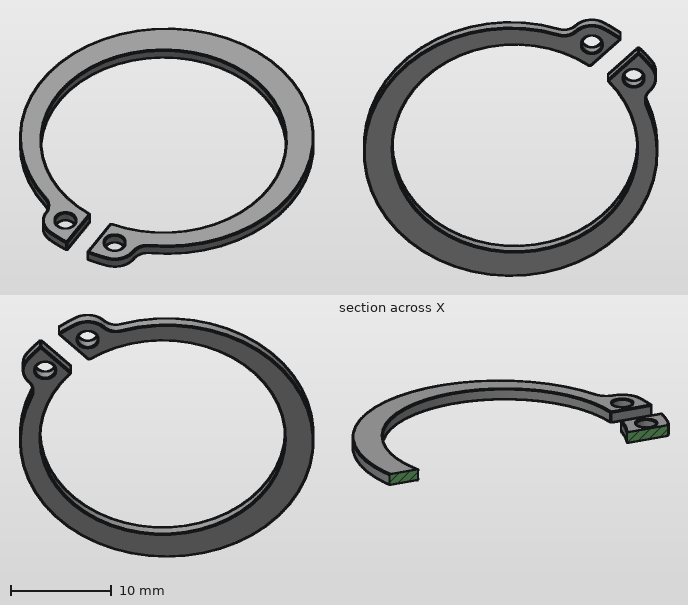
import cadquery as cq
import math

thickness = 1.2
total_length = 31.73
outer_radius = 14.55
bore_radius = 12.12
outer_offset = 0.6
half_gap = 1.17
hole_diameter = 2.0
hole_x = 2.85
hole_y = -14.1
neck_radius = 1.6
edge_chamfer = 0.1

lug_end_y = outer_offset + outer_radius - total_length
tip_radius = math.hypot(half_gap + edge_chamfer, lug_end_y)
lug_radius = tip_radius - math.hypot(hole_x, hole_y)

bore_center = (0.0, 0.0)
outer_center = (0.0, outer_offset)
hole_center = (hole_x, hole_y)


def toward(start, target, distance):
    """Point at a distance from start along the line through target."""
    span = math.dist(start, target)
    return tuple(a + (b - a) * distance / span for a, b in zip(start, target))


def arc_middle(center, radius, start, end):
    """Middle of the shorter arc between two points on a circle."""
    chord_middle = tuple((a + b) / 2 for a, b in zip(start, end))
    return toward(center, chord_middle, radius)


def neck_center():
    """Centre of the circle that touches both the outer circle and the lug corner."""
    from_outer = outer_radius + neck_radius
    from_hole = lug_radius + neck_radius
    span = math.dist(outer_center, hole_center)
    along = (from_outer**2 - from_hole**2 + span**2) / (2 * span)
    across = math.sqrt(from_outer**2 - along**2)
    foot_x, foot_y = toward(outer_center, hole_center, along)
    direction_x = hole_x / span
    direction_y = (hole_y - outer_offset) / span
    return foot_x - direction_y * across, foot_y + direction_x * across


def mirrored(point):
    """Same point on the other side of the gap."""
    return -point[0], point[1]


def ring_blank():
    """Eccentric open ring with a lug on each side of the gap."""
    neck = neck_center()
    bore_end = (half_gap, -math.sqrt(bore_radius**2 - half_gap**2))
    lug_end = (half_gap, -math.sqrt(tip_radius**2 - half_gap**2))
    tip_end = toward(bore_center, hole_center, tip_radius)
    lug_side = toward(hole_center, neck, lug_radius)
    ring_end = toward(outer_center, neck, outer_radius)
    tip_middle = arc_middle(bore_center, tip_radius, lug_end, tip_end)
    lug_middle = arc_middle(hole_center, lug_radius, tip_end, lug_side)
    neck_middle = arc_middle(neck, neck_radius, lug_side, ring_end)
    return (
        cq.Workplane("XY")
        .moveTo(*bore_end)
        .lineTo(*lug_end)
        .threePointArc(tip_middle, tip_end)
        .threePointArc(lug_middle, lug_side)
        .threePointArc(neck_middle, ring_end)
        .threePointArc((0.0, outer_offset + outer_radius), mirrored(ring_end))
        .threePointArc(mirrored(neck_middle), mirrored(lug_side))
        .threePointArc(mirrored(lug_middle), mirrored(tip_end))
        .threePointArc(mirrored(tip_middle), mirrored(lug_end))
        .lineTo(*mirrored(bore_end))
        .threePointArc((0.0, bore_radius), bore_end)
        .close()
        .extrude(thickness)
    )


gap_corners = cq.selectors.BoxSelector(
    (-half_gap - edge_chamfer, -total_length, 0),
    (half_gap + edge_chamfer, 0, thickness),
)
ring = ring_blank().edges("|Z").edges(gap_corners).chamfer(edge_chamfer)

holes = (
    cq.Workplane("XY")
    .pushPoints([(-hole_x, hole_y), (hole_x, hole_y)])
    .circle(hole_diameter / 2)
    .extrude(thickness)
)

result = ring.cut(holes).faces("<Z or >Z").edges().chamfer(edge_chamfer)